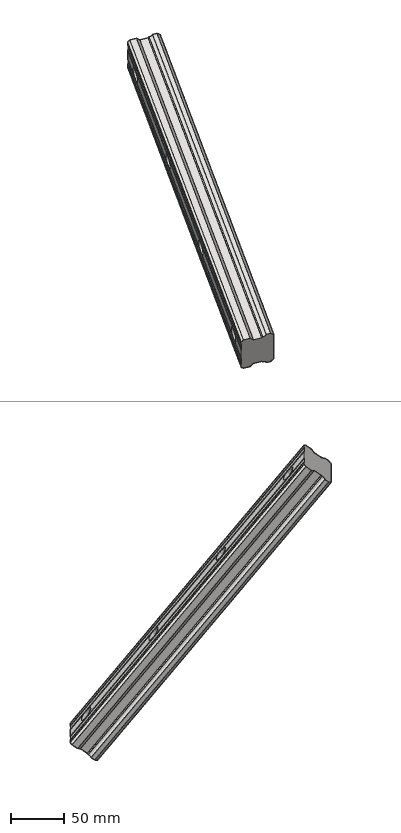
import cadquery as cq
import math

length = 365.0
depth = 32.0
width = 45.0
half_width = width / 2

base_chamfer = 2.2
foot_end = 8.8
floor_start = 12.0
floor_end = 20.0
floor_depth = 3.5
race_start = 21.0
race_end = 24.5
race_depth = 2.5
head_chamfer = 3.3

relief_inner = 7.3
relief_outer = 15.0
relief_depth = 0.5

hole_diameter = 14.2
hole_count = 4
hole_pitch = 105.0


def half_rail():
    """Upper half of the rail, with one ball race in its flank."""
    race_middle = (
        race_start + (race_end - race_start) * math.sin(math.pi / 4),
        half_width - race_depth * math.cos(math.pi / 4),
    )
    return (
        cq.Workplane("YZ")
        .moveTo(0, 0)
        .lineTo(0, half_width - base_chamfer)
        .lineTo(base_chamfer, half_width)
        .lineTo(foot_end, half_width)
        .lineTo(floor_start, half_width - floor_depth)
        .lineTo(floor_end, half_width - floor_depth)
        .lineTo(race_start, half_width - race_depth)
        .threePointArc(race_middle, (race_end, half_width))
        .lineTo(depth - head_chamfer, half_width)
        .lineTo(depth, half_width - head_chamfer)
        .lineTo(depth, 0)
        .close()
        .extrude(length)
    )


def relief_bands():
    """Two strips cut from the base over the full length."""
    band_center = (relief_inner + relief_outer) / 2
    return (
        cq.Workplane("YZ")
        .pushPoints([(0, -band_center), (0, band_center)])
        .rect(2 * relief_depth, relief_outer - relief_inner)
        .extrude(length)
    )


def mounting_holes():
    """Plain through holes along Y, centred on the rail's length."""
    first_hole = (length - (hole_count - 1) * hole_pitch) / 2
    centers = [(first_hole + i * hole_pitch, 0) for i in range(hole_count)]
    return (
        cq.Workplane("XZ")
        .pushPoints(centers)
        .circle(hole_diameter / 2)
        .extrude(-depth)
    )


upper_half = half_rail()
rail = upper_half.union(upper_half.mirror("XY")).clean()
result = rail.cut(relief_bands()).cut(mounting_holes())